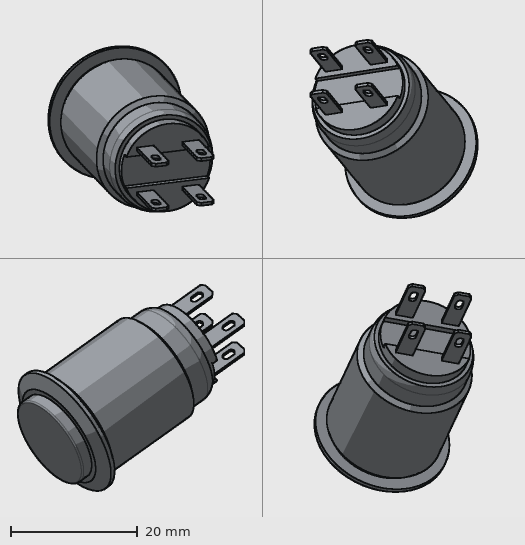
import cadquery as cq
import math

FLANGE_FRONT_X = 2.0
FLANGE_RIM_X = 3.2
FLANGE_BACK_X = 3.95
BODY_FRONT_X = 4.85
BODY_BACK_X = 22.1
COLLAR_FRONT_X = 22.68
COLLAR_ROUND_X = 25.75
COLLAR_BACK_X = 27.25
NOTCH_FLOOR_X = 28.25
BASE_BACK_X = 29.25
OVERALL_LENGTH = 37.0

BUTTON_DIA = 15.5
FLANGE_FACE_DIA = 17.4
FLANGE_DIA = 22.0
NECK_DIA = 17.8
BODY_DIA = 18.9
COLLAR_DIA = 17.1
COLLAR_BACK_DIA = 16.2
BASE_DIA = 14.8

BUTTON_EDGE_RADIUS = 0.25
NOTCH_WIDTH = 5.25

TERMINAL_WIDTH = 2.8
TERMINAL_THICKNESS = 0.5
TERMINAL_OFFSET = 3.77
TERMINAL_ROOT_DEPTH = 0.37
TERMINAL_CHAMFER = 0.5
EYELET_LENGTH = 2.25
EYELET_WIDTH = 1.15
EYELET_TO_TIP = 2.5


def turned_body():
    """Button, flange, barrel, collar and base as one revolved profile."""
    round_length = COLLAR_BACK_X - COLLAR_ROUND_X
    round_drop = (COLLAR_DIA - COLLAR_BACK_DIA) / 2
    round_radius = (round_length**2 + round_drop**2) / (2 * round_drop)
    half_angle = math.asin(round_length / round_radius) / 2
    round_middle = (
        COLLAR_ROUND_X + round_radius * math.sin(half_angle),
        COLLAR_DIA / 2 - round_radius * (1 - math.cos(half_angle)),
    )
    profile = (
        cq.Workplane("XY")
        .moveTo(0, 0)
        .lineTo(0, BUTTON_DIA / 2)
        .lineTo(FLANGE_FRONT_X, BUTTON_DIA / 2)
        .lineTo(FLANGE_FRONT_X, FLANGE_FACE_DIA / 2)
        .lineTo(FLANGE_RIM_X, FLANGE_DIA / 2)
        .lineTo(FLANGE_BACK_X, FLANGE_DIA / 2)
        .lineTo(FLANGE_BACK_X, NECK_DIA / 2)
        .lineTo(BODY_FRONT_X, NECK_DIA / 2)
        .lineTo(BODY_FRONT_X, BODY_DIA / 2)
        .lineTo(BODY_BACK_X, BODY_DIA / 2)
        .lineTo(COLLAR_FRONT_X, COLLAR_DIA / 2)
        .lineTo(COLLAR_ROUND_X, COLLAR_DIA / 2)
        .threePointArc(round_middle, (COLLAR_BACK_X, COLLAR_BACK_DIA / 2))
        .lineTo(COLLAR_BACK_X, BASE_DIA / 2)
        .lineTo(BASE_BACK_X, BASE_DIA / 2)
        .lineTo(BASE_BACK_X, 0)
        .close()
    )
    body = profile.revolve(360, (0, 0, 0), (1, 0, 0))
    return body.faces("<X").edges().fillet(BUTTON_EDGE_RADIUS)


def base_notch():
    """Channel running along Y across the back of the base."""
    depth = BASE_BACK_X - NOTCH_FLOOR_X
    return cq.Workplane("XY").box(depth, BASE_DIA, NOTCH_WIDTH).translate((NOTCH_FLOOR_X + depth / 2, 0, 0))


def terminal(y, z):
    """Flat tab with a chamfered tip and an oblong eyelet, centred on (y, z)."""
    root_x = BASE_BACK_X - TERMINAL_ROOT_DEPTH
    length = OVERALL_LENGTH - root_x
    blade = (
        cq.Workplane("XY")
        .box(length, TERMINAL_WIDTH, TERMINAL_THICKNESS)
        .translate((root_x + length / 2, 0, 0))
        .edges("|Z and >X")
        .chamfer(TERMINAL_CHAMFER)
    )
    eyelet = (
        cq.Workplane("XY")
        .center(OVERALL_LENGTH - EYELET_TO_TIP, 0)
        .slot2D(EYELET_LENGTH, EYELET_WIDTH)
        .extrude(TERMINAL_THICKNESS, both=True)
    )
    return blade.cut(eyelet).translate((0, y, z))


result = turned_body().cut(base_notch())
for y in (-TERMINAL_OFFSET, TERMINAL_OFFSET):
    for z in (-TERMINAL_OFFSET, TERMINAL_OFFSET):
        result = result.union(terminal(y, z))